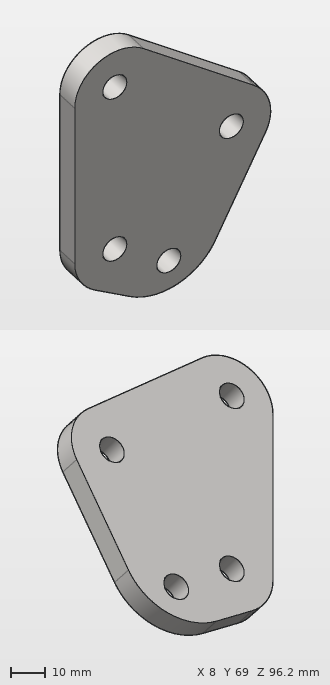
import cadquery as cq
import math

thickness = 8.0
width = 68.97
height = 96.2

corner_radius = 15.0
bottom_radius = 21.4
side_corner_z = 50.93
lower_corner_z = 23.58
bottom_corner_y = 30.65

hole_diameter = 8.4
hole_inset = 14.1
lower_hole_z = 23.1
hole_spacing = 60.0
side_hole_y = 55.1
side_hole_z = 51.1
bottom_hole_y = 33.1
bottom_hole_z = 10.7

corners = [
    (corner_radius, height - corner_radius, corner_radius),
    (corner_radius, lower_corner_z, corner_radius),
    (bottom_corner_y, bottom_radius, bottom_radius),
    (width - corner_radius, side_corner_z, corner_radius),
]

hole_centres = [
    (hole_inset, lower_hole_z + hole_spacing),
    (hole_inset, lower_hole_z),
    (side_hole_y, side_hole_z),
    (bottom_hole_y, bottom_hole_z),
]


def outward_angle(corner, following):
    """Direction of the outward normal of the line tangent to two successive corner arcs."""
    dy = following[0] - corner[0]
    dz = following[1] - corner[1]
    radius_step = corner[2] - following[2]
    return math.atan2(dz, dy) - math.acos(radius_step / math.hypot(dy, dz))


def point_on_corner(corner, angle):
    """Point of a corner arc in the given direction from its centre."""
    centre_y, centre_z, radius = corner
    return (centre_y + radius * math.cos(angle), centre_z + radius * math.sin(angle))


def make_outline():
    """Closed outline of corner arcs joined by their common tangent lines."""
    count = len(corners)
    normals = [outward_angle(corners[i], corners[(i + 1) % count]) for i in range(count)]
    outline = cq.Workplane("YZ").moveTo(*point_on_corner(corners[-1], normals[-1]))
    for i, corner in enumerate(corners):
        start_angle = normals[i - 1]
        sweep = (normals[i] - start_angle) % (2 * math.pi)
        outline = outline.lineTo(*point_on_corner(corner, start_angle))
        outline = outline.threePointArc(
            point_on_corner(corner, start_angle + sweep / 2),
            point_on_corner(corner, start_angle + sweep),
        )
    return outline.close()


def make_holes():
    """Cylinders for the four through holes."""
    return cq.Workplane("YZ").pushPoints(hole_centres).circle(hole_diameter / 2).extrude(thickness)


plate = make_outline().extrude(thickness)
result = plate.cut(make_holes())